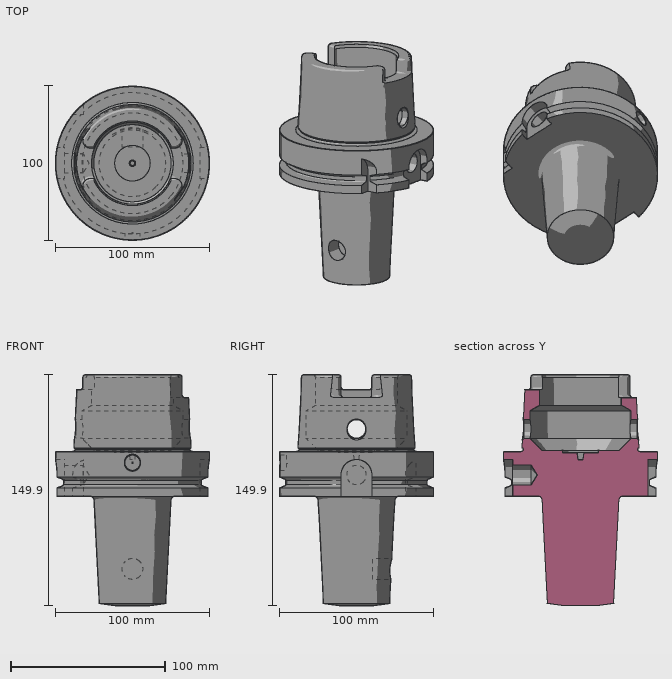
import cadquery as cq
import math

total_height = 149.9
taper_height = 49.9
nose_bottom = taper_height - total_height

clearance = 1.5

flange_radius = 100.0 / 2
flange_height = 29.0
flange_bottom = -flange_height
flange_edge_chamfer = 0.3
groove_radius = 45.9
groove_top = -16.5
groove_bottom = -23.5
groove_flank_rise = 1.6
groove_fillet = 0.9

taper_base_radius = 38.0
taper_base_z = 2.4
taper_slope = 1 / 20
taper_top_radius = taper_base_radius - (taper_height - taper_base_z) * taper_slope
relief_radius = 37.2
relief_top_z = 1.8
relief_round_z = 1.2
relief_round = 1.8
relief_flare_radius = 38.7
relief_flare_z = 0.3
relief_outer_radius = 39.4
lug_round = 2.0

bore_radius = 26.5
bore_mouth_flare = 0.9
bore_mouth_height = 1.8
bore_depth = 20.0
undercut_radius = 32.7
undercut_flank_drop = (undercut_radius - bore_radius) * math.tan(math.radians(30))
undercut_bottom = 8.5
floor_radius = 25.0
floor_z = undercut_bottom - (undercut_radius - floor_radius)
floor_recess_radius = 11.5
floor_recess_depth = 1.5
center_hole_radius = 2.1
center_hole_bottom_radius = 1.5
center_hole_depth = 4.5

nose_top_radius = 25.0
nose_fillet = 2.7
nose_end_radius = 21.6
nose_end_z = nose_bottom + 1.5
nose_tip_radius = 10.6

drive_slot_half_width = 9.9
drive_slot_flare_radius = 5.1
drive_slot_flare_start = 27.1
drive_slot_floor_fillet = 1.6
drive_slot_inner_x = 18.0
drive_slot_outer = taper_base_radius + clearance
shallow_slot_depth = 9.7
deep_slot_depth = 14.8

clamp_hole_radius = 6.0
clamp_hole_z = 14.7
clamp_hole_chamfer = 0.7

key_slot_radius = 10.0
key_slot_z = -15.1
key_slot_floor = 43.9
notch_floor = 31.6
notch_inner_wall_y = 31.6
notch_center_y = notch_inner_wall_y + key_slot_radius
key_hole_radius = 6.3
key_hole_depth = 12.0
drill_point_angle = 118

chip_radius = 5.0
chip_z = -7.2
chip_depth = 4.5
chip_chamfer = 0.6
chip_pit_radius = 0.5
chip_pit_depth = 0.7

screw_hole_radius = 6.7
screw_hole_z = -76.0
screw_hole_floor_y = 10.5


def make_body():
    """Solid of revolution: nose, flange with groove, and taper."""
    profile = (
        cq.Workplane("XZ")
        .moveTo(0, nose_bottom)
        .lineTo(nose_tip_radius, nose_bottom)
        .lineTo(nose_end_radius, nose_end_z)
        .lineTo(nose_top_radius, flange_bottom - nose_fillet)
        .radiusArc((nose_top_radius + nose_fillet, flange_bottom), nose_fillet)
        .lineTo(flange_radius, flange_bottom)
        .lineTo(flange_radius, groove_bottom)
        .lineTo(groove_radius, groove_bottom + groove_flank_rise)
        .lineTo(groove_radius, groove_top - groove_flank_rise)
        .lineTo(flange_radius, groove_top)
        .lineTo(flange_radius, -flange_edge_chamfer)
        .lineTo(flange_radius - flange_edge_chamfer, 0)
        .lineTo(relief_outer_radius, 0)
        .lineTo(relief_flare_radius, relief_flare_z)
        .radiusArc((relief_radius, relief_round_z), relief_round)
        .lineTo(relief_radius, relief_top_z)
        .lineTo(taper_base_radius, taper_base_z)
        .lineTo(taper_top_radius, taper_height)
        .lineTo(0, taper_height)
        .close()
    )
    body = profile.revolve(360, (0, 0), (0, 1))
    groove_corners = cq.selectors.BoxSelector(
        (-flange_radius, -flange_radius, groove_bottom + groove_flank_rise / 2),
        (flange_radius, flange_radius, groove_top - groove_flank_rise / 2),
        boundingbox=True,
    )
    return body.edges("%CIRCLE").edges(groove_corners).fillet(groove_fillet)


def make_cavity():
    """Stepped cavity: bore, wider undercut, conical bottom, floor recess and center hole."""
    bore_bottom = taper_height - bore_depth
    recess_z = floor_z - floor_recess_depth
    center_hole_z = recess_z - center_hole_depth
    profile = (
        cq.Workplane("XZ")
        .moveTo(0, taper_height)
        .lineTo(bore_radius, taper_height)
        .lineTo(bore_radius, bore_bottom)
        .lineTo(undercut_radius, bore_bottom - undercut_flank_drop)
        .lineTo(undercut_radius, undercut_bottom)
        .lineTo(floor_radius, floor_z)
        .lineTo(floor_recess_radius, floor_z)
        .lineTo(floor_recess_radius, recess_z)
        .lineTo(center_hole_radius, recess_z)
        .lineTo(center_hole_bottom_radius, center_hole_z)
        .lineTo(0, center_hole_z)
        .close()
    )
    return profile.revolve(360, (0, 0), (0, 1))


def make_mouth_chamfer():
    """Cone that breaks the upper edge of the bore."""
    return cq.Workplane("XY").add(
        cq.Solid.makeCone(
            bore_radius,
            bore_radius + bore_mouth_flare,
            bore_mouth_height,
            cq.Vector(0, 0, taper_height - bore_mouth_height),
        )
    )


def make_drive_slot(depth, side):
    """Slot that flares in quarter rounds to a wide mouth; side is -1 or +1 along X."""
    flare_end = drive_slot_flare_start + drive_slot_flare_radius
    mouth_half_width = drive_slot_half_width + drive_slot_flare_radius
    flare_mid_x = drive_slot_flare_start + drive_slot_flare_radius * math.sin(math.pi / 4)
    flare_mid_y = mouth_half_width - drive_slot_flare_radius * math.cos(math.pi / 4)
    slot = (
        cq.Workplane("XY", origin=(0, 0, taper_height - depth))
        .moveTo(drive_slot_inner_x, -drive_slot_half_width)
        .lineTo(drive_slot_flare_start, -drive_slot_half_width)
        .threePointArc((flare_mid_x, -flare_mid_y), (flare_end, -mouth_half_width))
        .lineTo(flare_end, -drive_slot_outer)
        .lineTo(drive_slot_outer, -drive_slot_outer)
        .lineTo(drive_slot_outer, drive_slot_outer)
        .lineTo(flare_end, drive_slot_outer)
        .lineTo(flare_end, mouth_half_width)
        .threePointArc((flare_mid_x, flare_mid_y), (drive_slot_flare_start, drive_slot_half_width))
        .lineTo(drive_slot_inner_x, drive_slot_half_width)
        .close()
        .extrude(depth)
        .faces("<Z")
        .edges()
        .fillet(drive_slot_floor_fillet)
    )
    return slot if side > 0 else slot.rotate((0, 0, 0), (0, 0, 1), 180)


def round_lugs(body):
    """Round the upper edges of the two lugs, except along the bore."""
    near_bore = bore_radius + bore_mouth_flare
    bore_edges = cq.selectors.BoxSelector(
        (-near_bore, -near_bore, 0), (near_bore, near_bore, 2 * taper_height), boundingbox=True
    )
    return body.faces(">Z").edges(cq.selectors.InverseSelector(bore_edges)).fillet(lug_round)


def make_clamp_hole():
    """Hole through both walls of the taper along X, chamfered at the outside."""
    wall_x = taper_base_radius - (clamp_hole_z - taper_base_z) * taper_slope
    center = cq.Workplane("YZ", origin=(0, 0, clamp_hole_z))
    hole = center.circle(clamp_hole_radius).extrude(wall_x + clearance, both=True)
    for side in (-1, 1):
        countersink = cq.Solid.makeCone(
            clamp_hole_radius,
            clamp_hole_radius + 2 * clamp_hole_chamfer,
            2 * clamp_hole_chamfer,
            cq.Vector(side * (wall_x - clamp_hole_chamfer), 0, clamp_hole_z),
            cq.Vector(side, 0, 0),
        )
        hole = hole.union(cq.Workplane("XY").add(countersink))
    return hole


def make_key_slot(floor, center_y, side):
    """Slot with a rounded upper end, open to the rim and to the flange underside."""
    start_x = floor if side > 0 else -flange_radius - clearance
    length = flange_radius + clearance - floor
    plane = cq.Workplane("YZ", origin=(start_x, center_y, key_slot_z))
    straight_length = key_slot_z - flange_bottom
    round_end = plane.circle(key_slot_radius).extrude(length)
    straight = plane.center(0, -straight_length / 2).rect(2 * key_slot_radius, straight_length)
    return round_end.union(straight.extrude(length))


def make_key_hole():
    """Drilled hole with a conical end in the floor of the -X key slot."""
    point_length = key_hole_radius / math.tan(math.radians(drill_point_angle / 2))
    profile = (
        cq.Workplane("XY")
        .polyline(
            [
                (-key_slot_floor, 0),
                (-key_slot_floor, key_hole_radius),
                (-key_slot_floor + key_hole_depth, key_hole_radius),
                (-key_slot_floor + key_hole_depth + point_length, 0),
            ]
        )
        .close()
    )
    return profile.revolve(360, (0, 0), (1, 0)).translate((0, 0, key_slot_z))


def make_chip_pocket():
    """Flat round pocket with a chamfered mouth and a small center pit."""
    floor_y = -flange_radius + chip_depth
    plane = cq.Workplane("XZ", origin=(0, floor_y, chip_z))
    pocket = plane.circle(chip_radius).extrude(chip_depth + clearance)
    pit = plane.circle(chip_pit_radius).extrude(-chip_pit_depth)
    mouth = cq.Solid.makeCone(
        chip_radius,
        chip_radius + 2 * chip_chamfer,
        2 * chip_chamfer,
        cq.Vector(0, -flange_radius + chip_chamfer, chip_z),
        cq.Vector(0, -1, 0),
    )
    return pocket.union(pit).union(cq.Workplane("XY").add(mouth))


def make_screw_hole():
    """Blind radial hole for the clamping screw."""
    plane = cq.Workplane("XZ", origin=(0, screw_hole_floor_y, screw_hole_z))
    return plane.circle(screw_hole_radius).extrude(-nose_top_radius)


result = make_body().cut(make_cavity())
result = result.cut(make_drive_slot(shallow_slot_depth, -1))
result = result.cut(make_drive_slot(deep_slot_depth, 1))
result = round_lugs(result)
result = result.cut(make_mouth_chamfer())
result = result.cut(make_clamp_hole())
result = result.cut(make_key_slot(key_slot_floor, 0, -1))
result = result.cut(make_key_slot(key_slot_floor, 0, 1))
result = result.cut(make_key_slot(notch_floor, notch_center_y, -1))
result = result.cut(make_key_hole())
result = result.cut(make_chip_pocket())
result = result.cut(make_screw_hole())